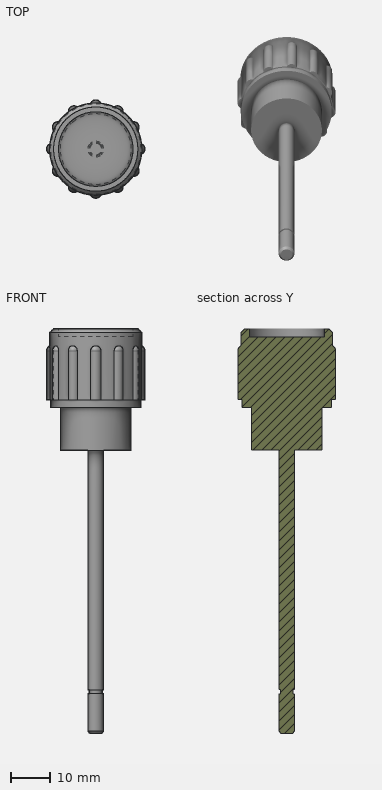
import cadquery as cq
import math

total_height = 103.0
collar_bottom = 72.0
cap_bottom = 82.9
rib_bottom = 84.9
rib_shoulder = 97.3

cap_diameter = 23.5
band_diameter = 23.0
cap_chamfer = 1.0
recess_diameter = 19.0
recess_depth = 2.1
collar_diameter = 18.0

rib_count = 12
rib_radius = 1.4
rib_tip_diameter = 25.0
rib_center = rib_tip_diameter / 2 - rib_radius

pin_diameter = 4.0
pin_chamfer_radial = 0.5
pin_chamfer_height = 0.6
groove_diameter = 3.4
groove_bottom = 10.2
groove_width = 0.9


def cylinder(diameter, bottom, top):
    """Solid cylinder on the Z axis between two heights."""
    return cq.Workplane("XY").workplane(offset=bottom).circle(diameter / 2).extrude(top - bottom)


def make_cap():
    """Chamfered cap with a shallow top recess and a slightly narrower band below the ribs."""
    cap = cylinder(cap_diameter, rib_bottom, total_height).faces(">Z").chamfer(cap_chamfer)
    cap = cap.cut(cylinder(recess_diameter, total_height - recess_depth, total_height))
    return cap.union(cylinder(band_diameter, cap_bottom, rib_bottom))


def make_rib(angle):
    """Round vertical rib with a domed upper end."""
    center_x = rib_center * math.cos(math.radians(angle))
    center_y = rib_center * math.sin(math.radians(angle))
    shaft = (
        cq.Workplane("XY")
        .workplane(offset=rib_bottom)
        .center(center_x, center_y)
        .circle(rib_radius)
        .extrude(rib_shoulder - rib_bottom)
    )
    dome = cq.Workplane("XY").sphere(rib_radius).translate((center_x, center_y, rib_shoulder))
    return shaft.union(dome)


def make_pin():
    """Slender pin with a bevelled tip and a narrow groove near it."""
    pin_radius = pin_diameter / 2
    groove_radius = groove_diameter / 2
    groove_top = groove_bottom + groove_width
    profile = [
        (0, 0),
        (pin_radius - pin_chamfer_radial, 0),
        (pin_radius, pin_chamfer_height),
        (pin_radius, groove_bottom),
        (groove_radius, groove_bottom),
        (groove_radius, groove_top),
        (pin_radius, groove_top),
        (pin_radius, collar_bottom),
        (0, collar_bottom),
    ]
    return cq.Workplane("XZ").polyline(profile).close().revolve(360, (0, 0, 0), (0, 1, 0))


result = make_cap()
for index in range(rib_count):
    result = result.union(make_rib(index * 360 / rib_count))
result = result.union(cylinder(collar_diameter, collar_bottom, cap_bottom))
result = result.union(make_pin())